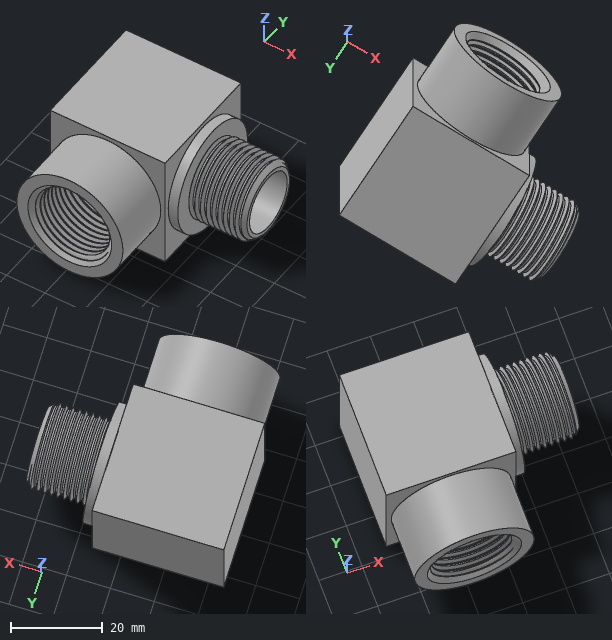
import cadquery as cq
import math

BODY_SIZE = 30.0

SOCKET_DIAMETER = 27.7
SOCKET_LENGTH = 14.95
SOCKET_MOUTH_DIAMETER = 21.8
SOCKET_CHAMFER_LENGTH = 1.84

SHOULDER_DIAMETER = 27.6
SHOULDER_THICKNESS = 2.5
SPIGOT_LENGTH = 14.5
SPIGOT_TIP_DIAMETER = 16.9
SPIGOT_CHAMFER_ANGLE = 45.0
SPIGOT_BORE_DIAMETER = 14.88

THREAD_DIAMETER = 20.0
THREAD_ROOT_DIAMETER = 18.26
THREAD_PITCH = 1.5
THREAD_FLANK_ANGLE = 60.0
MALE_CREST_WIDTH = 0.02
FEMALE_CREST_WIDTH = 0.19
THREAD_OVERLAP = 0.1
MALE_THREAD_PHASE = 180.0
FEMALE_THREAD_PHASE = 180.0
FEMALE_THREAD_DEPTH = 18.0

HALF_BODY = BODY_SIZE / 2
SOCKET_FACE = HALF_BODY + SOCKET_LENGTH
SHOULDER_FACE = HALF_BODY + SHOULDER_THICKNESS
SPIGOT_FACE = SHOULDER_FACE + SPIGOT_LENGTH
ROOT_RADIUS = THREAD_ROOT_DIAMETER / 2
THREAD_RADIUS = THREAD_DIAMETER / 2

BORE_FLOOR = -ROOT_RADIUS

SPIGOT_OVERRUN = 4 * THREAD_PITCH
BORE_OVERRUN = 4 * THREAD_PITCH


def along_x(shape):
    """Turn a shape built along +Z so that it points along +X."""
    return shape.rotate((0, 0, 0), (0, 1, 0), 90)


def along_minus_y(shape):
    """Turn a shape built along +Z so that it points along -Y."""
    return shape.rotate((0, 0, 0), (1, 0, 0), 90)


def cylinder(diameter, start, end):
    """Cylinder on the Z axis between two heights."""
    return cq.Workplane("XY").workplane(offset=start).circle(diameter / 2).extrude(end - start)


def thread_coil(start, end, phase, crest_width):
    """Right-handed V coil about the Z axis, its base sunk slightly below the root diameter."""
    base_radius = ROOT_RADIUS - THREAD_OVERLAP
    half_crest = crest_width / 2
    flank_run = (THREAD_RADIUS - base_radius) * math.tan(math.radians(THREAD_FLANK_ANGLE / 2))
    half_base = half_crest + flank_run
    helix = cq.Wire.makeHelix(THREAD_PITCH, end - start, base_radius)
    coil = (
        cq.Workplane("XZ")
        .moveTo(base_radius, -half_base)
        .lineTo(THREAD_RADIUS, -half_crest)
        .lineTo(THREAD_RADIUS, half_crest)
        .lineTo(base_radius, half_base)
        .close()
        .sweep(cq.Workplane(obj=helix), isFrenet=True)
    )
    return coil.rotate((0, 0, 0), (0, 0, 1), phase).translate((0, 0, start))


def spigot_trim():
    """Ring around and block beyond the spigot tip that leave its conical chamfer when removed."""
    tip_radius = SPIGOT_TIP_DIAMETER / 2
    outer_radius = THREAD_RADIUS + THREAD_PITCH
    chamfer_length = (outer_radius - tip_radius) / math.tan(math.radians(SPIGOT_CHAMFER_ANGLE))
    trim_end = SPIGOT_FACE + SPIGOT_OVERRUN + THREAD_PITCH
    return (
        cq.Workplane("XZ")
        .moveTo(0, SPIGOT_FACE)
        .lineTo(tip_radius, SPIGOT_FACE)
        .lineTo(outer_radius, SPIGOT_FACE - chamfer_length)
        .lineTo(outer_radius, trim_end)
        .lineTo(0, trim_end)
        .close()
        .revolve(360, (0, 0, 0), (0, 1, 0))
    )


def make_spigot():
    """Shoulder and threaded spigot, built overlong and trimmed to the chamfered tip."""
    shoulder = cylinder(SHOULDER_DIAMETER, HALF_BODY, SHOULDER_FACE)
    ridge = thread_coil(SHOULDER_FACE - THREAD_PITCH, SPIGOT_FACE + THREAD_PITCH, MALE_THREAD_PHASE, MALE_CREST_WIDTH)
    core = cylinder(THREAD_ROOT_DIAMETER, HALF_BODY, SPIGOT_FACE + SPIGOT_OVERRUN)
    threaded = core.union(ridge).cut(spigot_trim())
    return along_x(shoulder.union(threaded))


def make_threaded_bore():
    """Blind bore with a thread groove in its wall, running on past the socket face."""
    bore = cylinder(THREAD_ROOT_DIAMETER, BORE_FLOOR, SOCKET_FACE + BORE_OVERRUN)
    groove = thread_coil(SOCKET_FACE - FEMALE_THREAD_DEPTH, SOCKET_FACE, FEMALE_THREAD_PHASE, FEMALE_CREST_WIDTH)
    return along_minus_y(bore.union(groove))


def make_socket_mouth():
    """Conical lead-in at the socket face."""
    chamfer_start = SOCKET_FACE - SOCKET_CHAMFER_LENGTH
    mouth = (
        cq.Workplane("XZ")
        .moveTo(0, chamfer_start)
        .lineTo(ROOT_RADIUS, chamfer_start)
        .lineTo(SOCKET_MOUTH_DIAMETER / 2, SOCKET_FACE)
        .lineTo(0, SOCKET_FACE)
        .close()
        .revolve(360, (0, 0, 0), (0, 1, 0))
    )
    return along_minus_y(mouth)


body = cq.Workplane("XY").box(BODY_SIZE, BODY_SIZE, BODY_SIZE)
socket = along_minus_y(cylinder(SOCKET_DIAMETER, HALF_BODY, SOCKET_FACE))
spigot_bore = along_x(cylinder(SPIGOT_BORE_DIAMETER, 0, SPIGOT_FACE))

solid_elbow = body.union(socket).union(make_spigot())
result = solid_elbow.cut(make_threaded_bore()).cut(make_socket_mouth()).cut(spigot_bore)